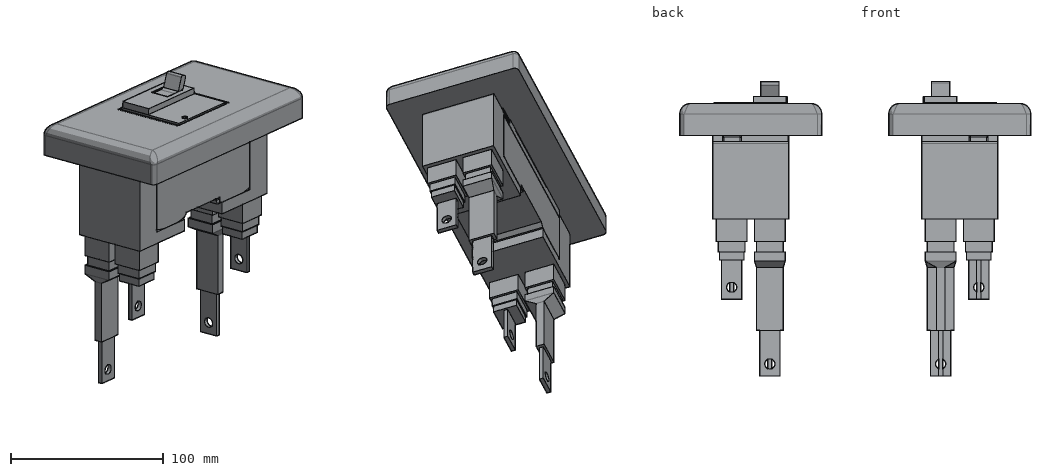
import cadquery as cq
import math


plate_width = 93.1
plate_length = 160.0
plate_height = 21.0
plate_corner_radius = 3.0
plate_top_radius = 7.0
opening_width = 49.3
opening_length = 54.5
opening_y = 0.3

body_width = 50.0
body_length = 99.2
body_bottom = -46.6
upper_case_bottom = -6.8
case_step = 0.2
recess_depth = 4.1
recess_pos_y = 18.0
recess_neg_y = -17.4
recess_neg_slope = 2.6
relief_depth = 1.4
relief_length = 7.0
latch_reach = 5.0
latch_tip_width = 2.0
latch_gap = 0.7
latch_neck = 1.0
notch_length = 11.3
notch_height = 3.4
notch_depth = 0.5

lug_width = 12.2
lug_center_x = 12.3
lug_reach = 6.0
lug_head = 3.4
lug_height = 4.0
lug_arm_height = 1.4
lug_chamfer = 0.9

ledge_drop = 0.6
nose_width = 48.0
nose_length = 50.0
nose_low_rise = 0.7
nose_high_rise = 4.7
nose_high_setback = 0.3
nose_high_right = -1.8
nose_draft = 10.0
nose_rim = 0.4
nose_corner = 1.0
lamp_diameter = 3.8
lamp_depth = 0.4
lamp_x = 19.9
lamp_y = -13.3

toggle_x = -12.5
slot_width = 13.2
slot_front_y = 1.6
slot_back_y = 17.4
slot_depth = 1.0
toggle_width = 12.2
toggle_thickness = 4.7
toggle_tilt = 20.0
toggle_top = 35.44
toggle_base_y = 15.8
toggle_tip_radius = 1.5
rocker_ramp_length = 3.4
rocker_low_height = 0.5
rocker_high_height = 0.9

block_outer_y = 67.85
block_top = -4.05
block_bottom = -54.7
foot_inner_y = 19.9
block_edge_radius = 1.3

terminal_x = 12.5
terminal_y = 55.1
base_size = 20.25
neck_size = 17.6
base_bottom = -69.5
neck_bottom = -76.2
flange_bottom = -82.2
taper_bottom = -86.3
shank_thickness = 5.6
shank_bottom = -127.5
short_collar_size = 16.2
short_collar_bottom = -81.6
blade_width = 13.5
blade_thickness = 2.8
blade_hole_diameter = 6.5
blade_hole_from_tip = 8.0
overall_height = 192.94
long_tip = toggle_top - overall_height
short_tip = -107.3


def block(x_size, y_size, z_low, z_high):
    """Upright block centred on the Z axis."""
    return cq.Workplane("XY", origin=(0, 0, z_low)).rect(x_size, y_size).extrude(z_high - z_low)


def box(x, y, z):
    """Block given by its (low, high) limits along each axis."""
    size = (x[1] - x[0], y[1] - y[0], z[1] - z[0])
    return cq.Workplane("XY", origin=(x[0], y[0], z[0])).box(*size, centered=False)


def yz_profile(points, x_low, x_high):
    """Closed Y-Z outline extruded along X."""
    return cq.Workplane("YZ", origin=(x_low, 0, 0)).polyline(points).close().extrude(x_high - x_low)


def make_opening_fill(z_high):
    """Block that fills the plate opening up to z_high."""
    return block(opening_width, opening_length, 0, z_high).translate((0, opening_y, 0))


def make_cover_plate():
    plate = block(plate_width, plate_length, 0, plate_height)
    plate = plate.edges("|Z").fillet(plate_corner_radius)
    plate = plate.faces(">Z").edges().fillet(plate_top_radius)
    return plate.cut(make_opening_fill(plate_height))


def make_lower_case():
    half = body_length / 2
    roof = body_bottom + recess_depth
    relief = body_bottom + relief_depth
    slope_end = recess_neg_y - recess_neg_slope
    outline = [
        (-half, upper_case_bottom),
        (-half, relief),
        (-half + relief_length, body_bottom),
        (slope_end - relief_length, body_bottom),
        (slope_end, relief),
        (recess_neg_y, roof),
        (recess_pos_y, roof),
        (recess_pos_y, body_bottom),
        (half - relief_length, body_bottom),
        (half, relief),
        (half, upper_case_bottom),
    ]
    half_width = body_width / 2 - case_step
    return yz_profile(outline, -half_width, half_width)


def make_rail_latch():
    roof = body_bottom + recess_depth
    tip_y = recess_pos_y - latch_gap
    root_y = recess_pos_y - latch_reach
    outline = [
        (root_y, roof),
        (tip_y - latch_tip_width, body_bottom),
        (tip_y, body_bottom),
        (tip_y, roof - latch_neck),
        (root_y + latch_neck, roof - latch_neck),
        (root_y + latch_neck, roof),
    ]
    half_width = body_width / 2 - case_step
    return yz_profile(outline, -half_width, half_width)


def make_lug(side):
    """Hooked lug on the breaker end at +Y (side = 1) or -Y (side = -1)."""
    root = body_length / 2
    tip = root + lug_reach
    outline = [
        (side * root, 0),
        (side * (tip - lug_chamfer), 0),
        (side * tip, -lug_chamfer),
        (side * tip, -lug_height),
        (side * (tip - lug_head), -lug_height),
        (side * (tip - lug_head), -lug_arm_height),
        (side * root, -lug_arm_height),
    ]
    left = lug_center_x - lug_width / 2
    lug = yz_profile(outline, left, left + lug_width)
    outer_face = ">Y" if side > 0 else "<Y"
    return lug.faces(outer_face).edges("|Z").chamfer(lug_chamfer)


def make_nose():
    low_top = plate_height + nose_low_rise
    top = plate_height + nose_high_rise
    nose = block(nose_width, nose_length, plate_height - ledge_drop, low_top)
    nose = nose.translate((0, opening_y, 0)).edges("|Z and >Y").chamfer(nose_corner)

    foot_half = nose_length / 2 - nose_high_setback
    top_half = foot_half - (top - low_top) * math.tan(math.radians(nose_draft))
    outline = [
        (opening_y - foot_half, low_top),
        (opening_y + foot_half, low_top),
        (opening_y + top_half, top),
        (opening_y - top_half, top),
    ]
    high_part = yz_profile(outline, -nose_width / 2, nose_high_right)
    high_part = high_part.faces("<X").edges("not #Z").chamfer(nose_corner)
    high_part = high_part.faces(">Z").edges("<X").chamfer(nose_rim)
    nose = nose.union(high_part)

    lamp = cq.Workplane("XY", origin=(lamp_x, lamp_y, low_top - lamp_depth))
    nose = nose.cut(lamp.circle(lamp_diameter / 2).extrude(lamp_depth))
    slot_x = (toggle_x - slot_width / 2, toggle_x + slot_width / 2)
    return nose.cut(box(slot_x, (slot_front_y, slot_back_y), (top - slot_depth, top)))


def make_toggle():
    floor = plate_height + nose_high_rise - slot_depth
    tilt = math.radians(toggle_tilt)
    half = toggle_thickness / 2
    tip_center_rise = toggle_top - toggle_tip_radius - floor
    tip_center_offset = half - toggle_tip_radius
    reach = (tip_center_rise - tip_center_offset * math.sin(tilt)) / math.cos(tilt) + toggle_tip_radius
    left = toggle_x - toggle_width / 2
    overlap = toggle_thickness
    lever = (
        cq.Workplane("YZ", origin=(left, 0, 0))
        .moveTo(0, (reach - overlap) / 2)
        .rect(toggle_thickness, reach + overlap)
        .extrude(toggle_width)
        .faces(">Z").edges("|X").fillet(toggle_tip_radius)
        .rotate((0, 0, 0), (1, 0, 0), -toggle_tilt)
        .translate((0, toggle_base_y, floor))
    )
    buried = box((-body_width, body_width), (0, body_length), (0, floor))
    front_y = toggle_base_y - half / math.cos(tilt)
    front_gap = (slot_width - toggle_width) / 2
    rocker_outline = [
        (toggle_base_y, floor),
        (slot_front_y + front_gap, floor),
        (slot_front_y + front_gap, floor + rocker_low_height),
        (front_y - rocker_ramp_length, floor + rocker_low_height),
        (front_y, floor + rocker_high_height),
        (toggle_base_y, floor + rocker_high_height),
    ]
    rocker = yz_profile(rocker_outline, left, left + toggle_width)
    return lever.cut(buried).union(rocker)


def make_breaker():
    upper_case = block(body_width, body_length, upper_case_bottom, 0)
    notch_x = (-body_width / 2, -body_width / 2 + notch_depth)
    notch_y = (body_length / 2 - notch_length, body_length / 2)
    upper_case = upper_case.cut(box(notch_x, notch_y, (-notch_height, 0)))
    neck = make_opening_fill(plate_height - ledge_drop)
    breaker = make_lower_case().union(upper_case).union(neck)
    for part in (make_rail_latch(), make_lug(1), make_lug(-1), make_nose(), make_toggle()):
        breaker = breaker.union(part)
    return breaker


def make_end_block(side):
    """L-shaped block at the +Y (side = 1) or -Y (side = -1) end of the breaker."""
    inner = body_length / 2
    outline = [
        (side * inner, block_top),
        (side * block_outer_y, block_top),
        (side * block_outer_y, block_bottom),
        (side * foot_inner_y, block_bottom),
        (side * foot_inner_y, body_bottom),
        (side * inner, body_bottom),
    ]
    end_block = yz_profile(outline, -body_width / 2, body_width / 2)
    outer_face = ">Y" if side > 0 else "<Y"
    return end_block.faces(outer_face).edges(">Z").fillet(block_edge_radius)


def add_blade(terminal, z_high, z_tip):
    terminal = terminal.union(block(blade_width, blade_thickness, z_tip, z_high))
    hole = (
        cq.Workplane("XZ", origin=(0, blade_thickness, z_tip + blade_hole_from_tip))
        .circle(blade_hole_diameter / 2)
        .extrude(2 * blade_thickness)
    )
    return terminal.cut(hole)


def make_terminal_root():
    root = block(base_size, base_size, base_bottom, block_bottom)
    return root.union(block(neck_size, neck_size, neck_bottom, base_bottom))


def make_long_terminal():
    """Long terminal on the Z axis, its blade wide along X."""
    taper = (
        cq.Workplane("XY", origin=(0, 0, flange_bottom))
        .rect(base_size, base_size)
        .workplane(offset=taper_bottom - flange_bottom)
        .rect(neck_size, shank_thickness)
        .loft(ruled=True)
    )
    terminal = make_terminal_root().union(block(base_size, base_size, flange_bottom, neck_bottom))
    terminal = terminal.union(taper)
    terminal = terminal.union(block(neck_size, shank_thickness, shank_bottom, taper_bottom))
    return add_blade(terminal, shank_bottom, long_tip)


def make_short_terminal():
    """Short terminal on the Z axis, its blade wide along X."""
    collar = block(short_collar_size, short_collar_size, short_collar_bottom, neck_bottom)
    return add_blade(make_terminal_root().union(collar), short_collar_bottom, short_tip)


cover_plate = make_cover_plate()
breaker = make_breaker()
end_blocks = [make_end_block(side) for side in (1, -1)]

terminals = []
for side, turn in ((1, 0), (-1, 90)):
    for make_terminal, x in ((make_long_terminal, -terminal_x), (make_short_terminal, terminal_x)):
        terminal = make_terminal().rotate((0, 0, 0), (0, 0, 1), turn)
        terminals.append(terminal.translate((x, side * terminal_y, 0)))

bodies = [cover_plate, breaker, *end_blocks, *terminals]
result = cq.Compound.makeCompound([body.solids().val() for body in bodies])